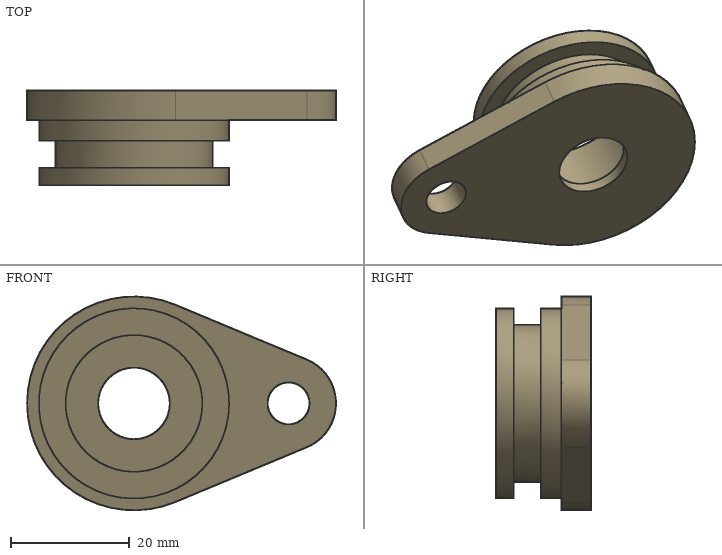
import cadquery as cq
import math

flange_radius = 18.0
ear_radius = 8.0
ear_distance = 26.0
flange_thickness = 5.0

spigot_diameter = 32.0
groove_diameter = 26.5
shoulder_length = 3.5
groove_width = 4.5
collar_length = 3.0
spigot_length = shoulder_length + groove_width + collar_length

ear_hole_diameter = 7.0
through_hole_diameter = 12.0
counterbore_diameter = 23.0
counterbore_depth = 14.0

back_y = flange_thickness
front_y = -spigot_length


def cylinder(diameter, start_y, end_y, center_x=0.0):
    """Cylinder along Y, running from start_y up to end_y."""
    base = cq.Workplane("XZ", origin=(center_x, start_y, 0))
    return base.circle(diameter / 2).extrude(start_y - end_y)


def make_flange():
    """Teardrop plate bounded by two arcs and their common tangent lines."""
    tangent_angle = math.acos((flange_radius - ear_radius) / ear_distance)
    tangent_cos = math.cos(tangent_angle)
    tangent_sin = math.sin(tangent_angle)
    disc_x = flange_radius * tangent_cos
    disc_z = flange_radius * tangent_sin
    ear_x = ear_distance + ear_radius * tangent_cos
    ear_z = ear_radius * tangent_sin
    return (
        cq.Workplane("XZ")
        .moveTo(disc_x, disc_z)
        .lineTo(ear_x, ear_z)
        .threePointArc((ear_distance + ear_radius, 0), (ear_x, -ear_z))
        .lineTo(disc_x, -disc_z)
        .threePointArc((-flange_radius, 0), (disc_x, disc_z))
        .close()
        .extrude(-flange_thickness)
    )


def make_spigot():
    """Shoulder, groove floor and end collar, stacked toward -Y."""
    groove_end_y = front_y + collar_length
    shoulder = cylinder(spigot_diameter, -shoulder_length, 0)
    groove_core = cylinder(groove_diameter, groove_end_y, -shoulder_length)
    collar = cylinder(spigot_diameter, front_y, groove_end_y)
    return shoulder.union(groove_core).union(collar)


counterbore = cylinder(counterbore_diameter, front_y, front_y + counterbore_depth)
through_hole = cylinder(through_hole_diameter, front_y, back_y)
ear_hole = cylinder(ear_hole_diameter, 0, back_y, ear_distance)

result = make_flange().union(make_spigot())
result = result.cut(counterbore).cut(through_hole).cut(ear_hole)